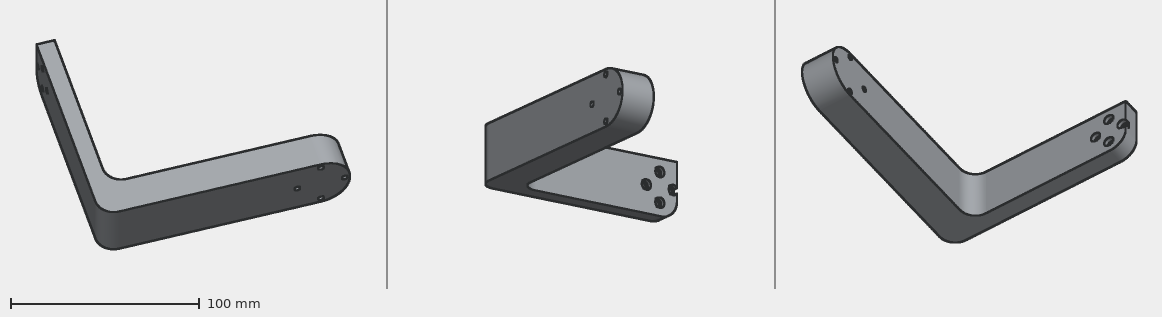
import cadquery as cq

length_x = 120.0
length_y = 137.6
height = 32.0

short_arm_thickness = 10.0
long_arm_thickness = 20.0
corner_radius = 10.0

hole_diameter = 3.0
counterbore_diameter = 5.8
counterbore_depth = 3.0
short_pattern_x = 11.0
short_pattern_radius = 8.5
long_pattern_radius = 13.1

end_radius = height / 2
mid_height = height / 2
long_pattern_y = length_y - end_radius
inner_wall_x = length_x - long_arm_thickness


def four_around(u, v, radius):
    """Four points at quarter turns around (u, v)."""
    return [(u + radius, v), (u, v + radius), (u - radius, v), (u, v - radius)]


def make_body():
    """L-shaped bar with rounded elbow and a rounded lower edge on the short arm."""
    body = (
        cq.Workplane("XY")
        .polyline([
            (0, 0),
            (length_x, 0),
            (length_x, length_y),
            (inner_wall_x, length_y),
            (inner_wall_x, short_arm_thickness),
            (0, short_arm_thickness),
        ])
        .close()
        .extrude(height)
    )
    margin = 1.4
    elbow_edges = cq.selectors.BoxSelector(
        (inner_wall_x - margin, -margin, -margin),
        (length_x + margin, short_arm_thickness + margin, height + margin),
    )
    body = body.edges("|Z").edges(elbow_edges).fillet(corner_radius)
    return body.edges("<X and |Y").edges("<Z").fillet(corner_radius)


def round_long_arm_end(body):
    """Give the free end of the long arm a full half-round."""
    side_profile = (
        cq.Workplane("YZ")
        .moveTo(0, 0)
        .lineTo(long_pattern_y, 0)
        .threePointArc((length_y, mid_height), (long_pattern_y, height))
        .lineTo(0, height)
        .close()
        .extrude(length_x)
    )
    return body.intersect(side_profile)


def drill_short_arm(body):
    """Four through holes along Y, counterbored from the inner face."""
    points = four_around(short_pattern_x, mid_height, short_pattern_radius)
    holes = (
        cq.Workplane("XZ")
        .pushPoints(points)
        .circle(hole_diameter / 2)
        .extrude(-short_arm_thickness)
    )
    counterbores = (
        cq.Workplane("XZ", origin=(0, short_arm_thickness, 0))
        .pushPoints(points)
        .circle(counterbore_diameter / 2)
        .extrude(counterbore_depth)
    )
    return body.cut(holes).cut(counterbores)


def drill_long_arm(body):
    """Four through holes along X near the rounded end."""
    points = four_around(long_pattern_y, mid_height, long_pattern_radius)
    holes = (
        cq.Workplane("YZ", origin=(inner_wall_x, 0, 0))
        .pushPoints(points)
        .circle(hole_diameter / 2)
        .extrude(long_arm_thickness)
    )
    return body.cut(holes)


body = round_long_arm_end(make_body())
body = drill_short_arm(body)
result = drill_long_arm(body)